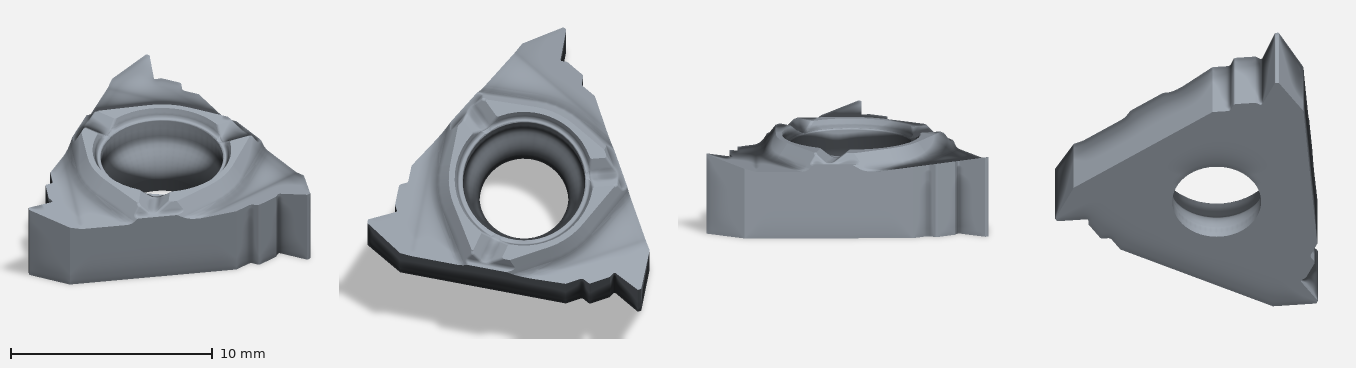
import cadquery as cq
import math

SIN60 = math.sin(math.radians(60))
TAN60 = math.tan(math.radians(60))
TAN30 = math.tan(math.radians(30))
CORNER_ANGLES = (0, 120, 240)

total_height = 4.2
land_z = 3.38
shelf_z = 3.72
groove_z = 3.76

edge_distance = 4.75
flank_distance = 6.78
tip_y = 7.2
tip_width = 0.18
tip_radius = 0.05
crest_y = 6.04
step_y = 5.63
ramp_start_x = -2.42
crest_end_x = -1.35
valley_radius = 0.08
crest_radius = 0.14
step_radius = 0.18

incline_y = 4.74
incline_angle = math.radians(15)
incline_radius = 0.45

boss_top_radius = 3.73
boss_arc = 32
boss_slope = math.radians(50)
boss_foot_radius = 0.45

hole_radius = 4.4 / 2
rim_radius = 3.44
rim_angle = math.radians(67)
rim_drop = 0.3
rim_fillet = 0.21
ledge_inner_radius = 3.1
lip_radius = 0.07
bore_radius = ledge_inner_radius - lip_radius
bore_bottom_z = 2.77
seat_angle = math.radians(45)
seat_fillet = 0.52
seat_start_radius = bore_radius - seat_fillet * (1 - math.cos(seat_angle))

groove_direction = 30 + boss_arc / 2
groove_half_floor = 0.04
groove_wall_angle = math.radians(38)
groove_radius = 0.328
groove_end_radius = 0.14

shelf_direction = 60
shelf_fillet_start = 4.631
shelf_fillet = 0.21
shelf_wall_angle = math.radians(62)
shelf_half_length = 2.37

cut_margin = 0.14
reach = 11.18


def three_times(shape):
    """Copy a shape to the three corners and join the copies."""
    joined = shape
    for angle in CORNER_ANGLES[1:]:
        joined = joined.union(shape.rotate((0, 0, 0), (0, 0, 1), angle))
    return joined


def polar(radius, degrees):
    angle = math.radians(degrees)
    return (radius * math.cos(angle), radius * math.sin(angle))


def turn(point, degrees):
    radius = math.hypot(*point)
    return polar(radius, math.degrees(math.atan2(point[1], point[0])) + degrees)


def make_outline_prism():
    tip_start = ((tip_y / 2 - flank_distance) / SIN60, tip_y)
    tip_end = (tip_start[0] + tip_width, tip_y)
    flank_foot = (-edge_distance, 2 * (flank_distance - SIN60 * edge_distance))
    valley_x = (tip_y - crest_y + TAN60 * tip_end[0] + TAN30 * ramp_start_x) / (TAN60 + TAN30)
    valley = (valley_x, crest_y - TAN30 * (ramp_start_x - valley_x))
    crest_start = (ramp_start_x, crest_y)
    crest_end = (crest_end_x, crest_y)
    step_start = (crest_end_x + (crest_y - step_y) / TAN60, step_y)
    step_end = (2 * edge_distance - step_y * TAN60, step_y)

    corner = [flank_foot, tip_start, tip_end, valley, crest_start, crest_end, step_start, step_end]
    points = [turn(point, -angle) for angle in CORNER_ANGLES for point in corner]
    prism = cq.Workplane("XY").polyline(points).close().extrude(total_height)

    roundings = [
        (tip_start, tip_radius),
        (tip_end, tip_radius),
        (valley, valley_radius),
        (crest_end, crest_radius),
        (step_start, step_radius),
    ]
    for point, radius in roundings:
        for angle in CORNER_ANGLES:
            x, y = turn(point, angle)
            edge = cq.selectors.NearestToPointSelector((x, y, total_height / 2))
            prism = prism.edges(edge).fillet(radius)
    return prism


def boss_wire(workplane, radius):
    """Three arcs joined by tangent lines that meet in three corners."""
    half_gap = (120 - boss_arc) / 2
    corner_radius = radius / math.cos(math.radians(half_gap))
    wire = workplane.moveTo(*polar(radius, 90))
    for corner in CORNER_ANGLES:
        start = 90 + corner
        end = start + boss_arc
        wire = wire.threePointArc(polar(radius, start + boss_arc / 2), polar(radius, end))
        wire = wire.lineTo(*polar(corner_radius, end + half_gap))
        if corner != CORNER_ANGLES[-1]:
            wire = wire.lineTo(*polar(radius, start + 120))
    return wire.close()


def make_land_and_boss():
    boss_height = total_height - land_z
    base_radius = boss_top_radius + boss_height / math.tan(boss_slope)
    base = boss_wire(cq.Workplane("XY").workplane(offset=land_z), base_radius)
    boss = boss_wire(base.workplane(offset=boss_height), boss_top_radius).loft(ruled=True)

    land = cq.Workplane("XY").circle(reach).extrude(land_z)
    body = land.union(boss)
    beyond_boss = 1.5 * base_radius
    edge_band = 0.01
    boss_foot = cq.selectors.BoxSelector(
        (-beyond_boss, -beyond_boss, land_z - edge_band),
        (beyond_boss, beyond_boss, land_z + edge_band),
        boundingbox=True,
    )
    return body.edges(boss_foot).fillet(boss_foot_radius)


def make_incline():
    """Wedge rising from the flat land to the tooth tip, with a rounded foot."""
    tangent = incline_radius * math.tan(incline_angle / 2)
    half_angle = incline_angle / 2
    foot_start = (incline_y - tangent, land_z)
    foot_middle = (
        foot_start[0] + incline_radius * math.sin(half_angle),
        land_z + incline_radius * (1 - math.cos(half_angle)),
    )
    foot_end = (
        incline_y + tangent * math.cos(incline_angle),
        land_z + tangent * math.sin(incline_angle),
    )
    far_z = land_z + (reach - incline_y) * math.tan(incline_angle)
    return (
        cq.Workplane("YZ")
        .moveTo(*foot_start)
        .threePointArc(foot_middle, foot_end)
        .lineTo(reach, far_z)
        .lineTo(reach, 0)
        .lineTo(foot_start[0], 0)
        .close()
        .extrude(reach, both=True)
    )


def make_rim_cone():
    """Cone of the hole rim, carried down past the floor of the grooves."""
    cone_bottom_radius = rim_radius - (total_height - land_z) / math.tan(rim_angle)
    cone = cq.Solid.makeCone(cone_bottom_radius, rim_radius, total_height - land_z)
    return cq.Workplane(cone.translate(cq.Vector(0, 0, land_z)))


def make_hole():
    rim_cone_end = (rim_radius - rim_drop / math.tan(rim_angle), total_height - rim_drop)
    ledge = (
        rim_cone_end[0] - rim_fillet * math.sin(rim_angle),
        rim_cone_end[1] - rim_fillet * (1 - math.cos(rim_angle)),
    )
    seat_start = (seat_start_radius, bore_bottom_z - seat_fillet * math.sin(seat_angle))
    seat_radius = (seat_start_radius - hole_radius) / (1 - math.cos(seat_angle))
    seat_end = (hole_radius, seat_start[1] - seat_radius * math.sin(seat_angle))
    return (
        cq.Workplane("XZ")
        .moveTo(0, total_height)
        .lineTo(rim_radius, total_height)
        .lineTo(*rim_cone_end)
        .tangentArcPoint(ledge, relative=False)
        .lineTo(ledge_inner_radius, ledge[1])
        .tangentArcPoint((bore_radius, ledge[1] - lip_radius), relative=False)
        .lineTo(bore_radius, bore_bottom_z)
        .tangentArcPoint(seat_start, relative=False)
        .tangentArcPoint(seat_end, relative=False)
        .lineTo(hole_radius, 0)
        .lineTo(0, 0)
        .close()
        .revolve(360, (0, 0, 0), (0, 1, 0))
    )


def make_groove():
    """Radial V groove with a narrow floor and rounded floor corners."""
    wall_start = (
        groove_half_floor + groove_radius * math.sin(groove_wall_angle),
        groove_z + groove_radius * (1 - math.cos(groove_wall_angle)),
    )
    top_z = total_height + cut_margin
    top_half = wall_start[0] + (top_z - wall_start[1]) / math.tan(groove_wall_angle)
    groove = (
        cq.Workplane("YZ")
        .moveTo(-groove_half_floor, groove_z)
        .lineTo(groove_half_floor, groove_z)
        .tangentArcPoint(wall_start, relative=False)
        .lineTo(top_half, top_z)
        .lineTo(-top_half, top_z)
        .lineTo(-wall_start[0], wall_start[1])
        .tangentArcPoint((-groove_half_floor, groove_z), relative=False)
        .close()
        .extrude(reach)
    )
    return groove.rotate((0, 0, 0), (0, 0, 1), groove_direction)


def make_shelf():
    """Shelf cut that trims the boss corner along one straight side."""
    wall_start = (
        shelf_fillet_start - shelf_fillet * math.sin(shelf_wall_angle),
        shelf_z + shelf_fillet * (1 - math.cos(shelf_wall_angle)),
    )
    top_z = total_height + cut_margin
    top_distance = wall_start[0] - (top_z - wall_start[1]) / math.tan(shelf_wall_angle)
    shelf = (
        cq.Workplane("XZ")
        .moveTo(edge_distance + cut_margin, shelf_z)
        .lineTo(shelf_fillet_start, shelf_z)
        .tangentArcPoint(wall_start, relative=False)
        .lineTo(top_distance, top_z)
        .lineTo(edge_distance + cut_margin, top_z)
        .close()
        .extrude(shelf_half_length, both=True)
    )
    return shelf.rotate((0, 0, 0), (0, 0, 1), shelf_direction)


def round_groove_edges(body, edge_midpoints, radius):
    """Round edges of every groove, given as midpoints for a groove along +X."""
    for corner in CORNER_ANGLES:
        edges = []
        for x, y, z in edge_midpoints:
            place = (*turn((x, y), groove_direction + corner), z)
            edges += body.edges(cq.selectors.NearestToPointSelector(place)).vals()
        body = body.newObject(edges).fillet(radius)
    return body


wall_to_rim = (3.32, 0.47, 4.01)
wall_to_shelf = (4.6, -0.46, 4.0)
wall_to_boss = (4.53, -0.71, 4.19)
boss_to_shelf = (4.68, -0.77, 4.0)

body = make_land_and_boss().union(three_times(make_incline()))
body = body.intersect(make_outline_prism())
grooves = three_times(make_groove())
rim_cone = make_rim_cone()
hole = make_hole()

body = body.cut(rim_cone).cut(grooves)
body = round_groove_edges(body, [wall_to_rim], groove_end_radius)

ledge = rim_cone.cut(hole).cut(grooves)
body = body.union(ledge).cut(hole)
body = body.cut(three_times(make_shelf()))
result = round_groove_edges(body, [wall_to_shelf, wall_to_boss, boss_to_shelf], groove_end_radius)